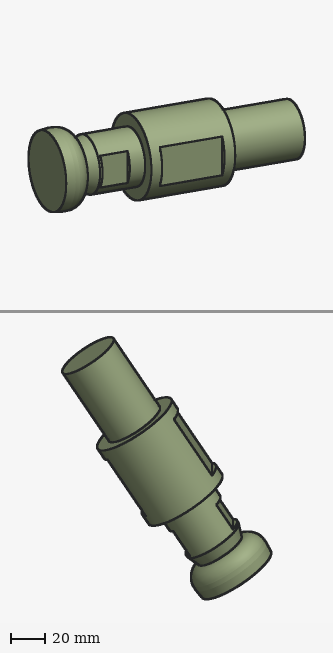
import cadquery as cq

total_length = 160.0

rod_radius = 36.0 / 2
rod_flat_width = 30.0
rod_flat_start = 27.0
rod_flat_length = 18.0

head_radius = 50.0 / 2
head_face_radius = 48.6 / 2
head_taper_length = 6.0
head_round_start = 9.1
head_shoulder_radius = 24.8
head_round_radius = 10.0
neck_radius = 15.2
neck_start = 17.8
neck_end = 25.5

sleeve_radius = 52.0 / 2
sleeve_length = 55.0
sleeve_start = 55.0
sleeve_flat_width = 46.0
sleeve_flat_inset = 7.0
sleeve_flat_length = sleeve_length - 2 * sleeve_flat_inset


def cylinder(radius, start, length):
    """Solid cylinder along +Y from the given start."""
    return cq.Workplane("XZ", origin=(0, start, 0)).circle(radius).extrude(-length)


def cut_side_flats(body, radius, width, start, length):
    """Cut two opposite flats, the given width apart across X."""
    depth = radius - width / 2
    for side in (-1, 1):
        cutter = cq.Workplane("XY").box(2 * depth, length, 2 * radius)
        offset = side * (width / 2 + depth)
        body = body.cut(cutter.translate((offset, start + length / 2, 0)))
    return body


def make_spindle():
    """Rod with a rounded head, a tapered neck and two wrench flats."""
    body = (
        cq.Workplane("XY")
        .lineTo(head_face_radius, 0)
        .lineTo(head_radius, head_taper_length)
        .lineTo(head_shoulder_radius, head_round_start)
        .radiusArc((neck_radius, neck_start), -head_round_radius)
        .lineTo(rod_radius, neck_end)
        .lineTo(rod_radius, total_length)
        .lineTo(0, total_length)
        .close()
        .revolve(360, (0, 0, 0), (0, 1, 0))
    )
    return cut_side_flats(body, rod_radius, rod_flat_width, rod_flat_start, rod_flat_length)


def make_sleeve():
    """Bored sleeve that fits the rod, with two wrench flats."""
    body = cylinder(sleeve_radius, sleeve_start, sleeve_length)
    body = body.cut(cylinder(rod_radius, sleeve_start, sleeve_length))
    flat_start = sleeve_start + sleeve_flat_inset
    return cut_side_flats(body, sleeve_radius, sleeve_flat_width, flat_start, sleeve_flat_length)


spindle = make_spindle()
sleeve = make_sleeve()
result = cq.Compound.makeCompound([spindle.solids().val(), sleeve.solids().val()])